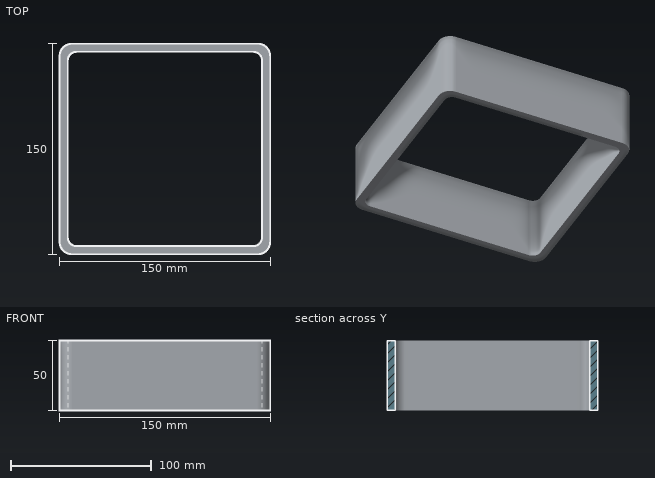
import cadquery as cq

outer_width = 150.0
height = 50.0
wall = 6.0
outer_radius = 9.0
inner_radius = 6.0


def rounded_block(width, corner_radius):
    """Square block standing on Z = 0 with its four vertical edges rounded."""
    block = cq.Workplane("XY").box(width, width, height, centered=(True, True, False))
    return block.edges("|Z").fillet(corner_radius)


outer_block = rounded_block(outer_width, outer_radius)
opening = rounded_block(outer_width - 2 * wall, inner_radius)

result = outer_block.cut(opening)